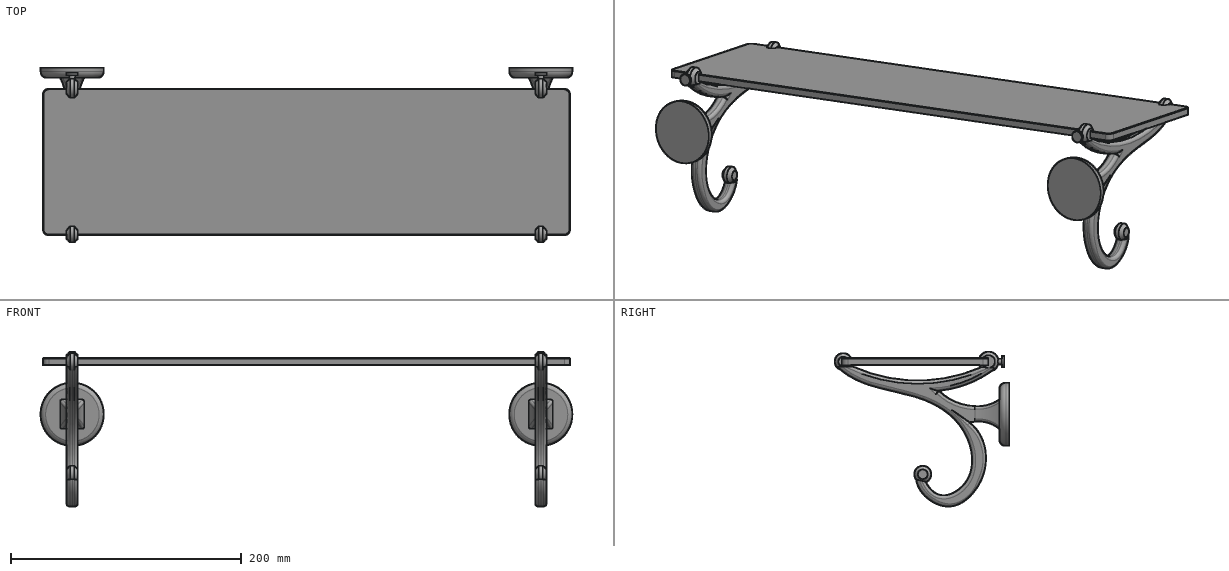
import cadquery as cq

overall_length = 461.39
overall_depth = 151.5

plate_radius = 27.5
plate_thickness = 8.7
plate_face_radius = 23.2
plate_shoulder_radius = 26.35
plate_shoulder_depth = 6.6
plate_rim_thickness = 3.2

shelf_length = 457.2
shelf_depth = 127.0
shelf_thickness = 6.35
shelf_back = 18.2
shelf_mid_height = 45.7
shelf_corner_radius = 5.0
shelf_edge_chamfer = 0.6

bracket_spacing = overall_length - 2 * plate_radius
bracket_width = 10.0
bracket_rounding = 3.0
disc_bevel = 3.2
front_disc_radius = 7.4
rear_disc_radius = 8.7
rear_disc_depth = 18.0
hook_disc_radius = 7.4
hook_disc_depth = 75.1
hook_disc_height = -52.0

foot_half_width = 11.0
foot_half_height = 13.6
foot_end = 30.0
foot_waist_top = 7.2
foot_waist_bottom = -6.6
foot_middle_top = 8.2
foot_middle_bottom = -7.4
foot_middle_half_width = 6.6
foot_overlap = 1.0
foot_rounding = 2.5

button_radius = 5.0
button_thickness = 2.2
button_back = 4.3
shank_radius = 2.6


def at(depth, height):
    """Point in the side plane, given its distance from the wall and its height."""
    return (-depth, height)


hook_root = at(34.5, -7.0)


def disc(radius, depth, height):
    """Disc across the full bracket width, with bevelled rims."""
    blank = (
        cq.Workplane("YZ")
        .center(*at(depth, height))
        .circle(radius)
        .extrude(bracket_width / 2, both=True)
    )
    return blank.edges("%CIRCLE").chamfer(disc_bevel)


def round_side_edges(blank, edge_points):
    """Round the edges of both bracket faces at the given points of the side plane."""
    half_width = bracket_width / 2
    rims = blank.faces("<X or >X").edges().vals()
    chosen = []
    for x in (-half_width, half_width):
        for point in edge_points:
            target = cq.Vertex.makeVertex(x, *point)
            chosen.append(min(rims, key=target.distance))
    return blank.newObject(chosen).fillet(bracket_rounding)


def scroll():
    """Crescent arm under the shelf, running into the hook."""
    rear_low = at(12.0, 40.0)
    rear_low_middle = at(33.1, 27.4)
    arm_root = at(62.5, 20.2)
    hook_outer_middle = at(27.9, -63.5)
    hook_tip_outer = at(81.0, -56.5)
    hook_tip_inner = at(72.5, -58.5)
    hook_inner_middle = at(38.0, -59.0)
    front_low = at(149.0, 41.0)
    front_high = at(135.5, 41.4)
    top_middle = at(80.0, 29.4)
    rear_high = at(24.1, 41.0)
    outline = (
        cq.Workplane("YZ")
        .moveTo(*rear_low)
        .threePointArc(rear_low_middle, arm_root)
        .lineTo(*hook_root)
        .spline(
            [at(20.2, -36.0), hook_outer_middle, at(51.4, -80.05), at(71.3, -72.6), hook_tip_outer],
            includeCurrent=True,
        )
        .lineTo(*hook_tip_inner)
        .spline(
            [
                at(54.8, -70.0),
                hook_inner_middle,
                at(32.6, -36.0),
                at(49.6, -2.3),
                at(86.9, 16.6),
                at(120.0, 24.8),
                front_low,
            ],
            includeCurrent=True,
        )
        .lineTo(*front_high)
        .threePointArc(top_middle, rear_high)
        .close()
    )
    blank = outline.extrude(bracket_width / 2, both=True)
    long_edges = [rear_low_middle, hook_outer_middle, hook_inner_middle, top_middle]
    return round_side_edges(blank, long_edges)


def neck():
    """Web that joins the foot to the arm and the hook, hollowed along its top."""
    top_middle = at(47.5, 11.2)
    top_end = at(61.0, 20.4)
    inner_corner = at(66.0, 15.0)
    blank = (
        cq.Workplane("YZ")
        .moveTo(*at(foot_end, foot_waist_top))
        .threePointArc(top_middle, top_end)
        .lineTo(*inner_corner)
        .lineTo(*hook_root)
        .lineTo(*at(foot_end, foot_waist_bottom))
        .close()
        .extrude(bracket_width / 2, both=True)
    )
    return round_side_edges(blank, [top_middle])


def foot():
    """Foot flaring in height and in width from the bracket neck to the wall plate."""
    start = plate_thickness - foot_overlap
    middle = (start + foot_end) / 2
    side = (
        cq.Workplane("YZ")
        .moveTo(*at(start, foot_half_height))
        .threePointArc(at(middle, foot_middle_top), at(foot_end, foot_waist_top))
        .lineTo(*at(foot_end, foot_waist_bottom))
        .threePointArc(at(middle, foot_middle_bottom), at(start, -foot_half_height))
        .close()
        .extrude(foot_half_width, both=True)
    )
    half_width = bracket_width / 2
    plan = (
        cq.Workplane("XY")
        .moveTo(-foot_half_width, -start)
        .threePointArc((-foot_middle_half_width, -middle), (-half_width, -foot_end))
        .lineTo(half_width, -foot_end)
        .threePointArc((foot_middle_half_width, -middle), (foot_half_width, -start))
        .close()
        .extrude(foot_half_height, both=True)
    )
    flared = side.intersect(plan)
    return flared.edges("not(#Y or |X or |Z)").fillet(foot_rounding)


def wall_plate():
    """Round plate whose bulging shoulder meets the flat front face at a crisp edge."""
    return (
        cq.Workplane("XY")
        .lineTo(plate_radius, 0)
        .lineTo(plate_radius, -plate_rim_thickness)
        .threePointArc((plate_shoulder_radius, -plate_shoulder_depth), (plate_face_radius, -plate_thickness))
        .lineTo(0, -plate_thickness)
        .close()
        .revolve(360, (0, 0), (0, 1))
    )


def button_screw():
    """Shank and flat button on the wall side of the rear disc."""
    behind = cq.Workplane("XZ", origin=(0, -button_back, shelf_mid_height))
    button = behind.circle(button_radius).extrude(button_thickness)
    shank = behind.circle(shank_radius).extrude(rear_disc_depth - button_back)
    return button.union(shank)


def bracket():
    front_disc_depth = overall_depth - front_disc_radius
    return (
        scroll()
        .union(neck())
        .union(disc(rear_disc_radius, rear_disc_depth, shelf_mid_height))
        .union(disc(front_disc_radius, front_disc_depth, shelf_mid_height))
        .union(disc(hook_disc_radius, hook_disc_depth, hook_disc_height))
        .union(foot())
        .union(wall_plate())
        .union(button_screw())
    )


def shelf():
    return (
        cq.Workplane("XY", origin=(0, -shelf_back - shelf_depth / 2, shelf_mid_height))
        .box(shelf_length, shelf_depth, shelf_thickness)
        .edges("|Z")
        .fillet(shelf_corner_radius)
        .faces(">Z")
        .edges()
        .chamfer(shelf_edge_chamfer)
    )


result = shelf()
one_bracket = bracket()
for side in (-1, 1):
    result = result.union(one_bracket.translate((side * bracket_spacing / 2, 0, 0)))